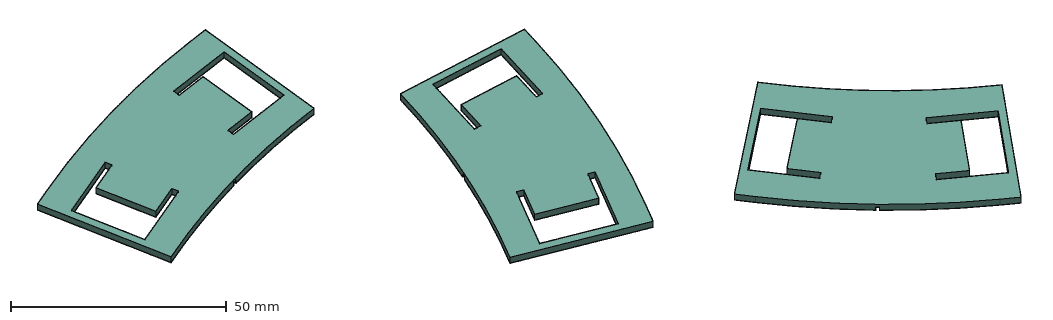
import cadquery as cq
import math

thickness = 2.1
width = 35.0
outer_radius = 200.7
end_length = 5.0
bend_angle = 16.2
inner_edge_radius = 184.25

window_width = 19.2
window_near = 1.9
window_far = 18.75
tongue_width = 15.65
tongue_tip = 10.8

groove_width = 0.8
groove_depth = 1.05

middle_radius = outer_radius - width / 2
bend_center = (outer_radius, end_length)


def bend_point(radius, angle, beyond=0.0):
    """Point at a bend angle, moved a distance onward along the tangent."""
    a = math.radians(angle)
    x = bend_center[0] - radius * math.cos(a) + beyond * math.sin(a)
    y = bend_center[1] + radius * math.sin(a) + beyond * math.cos(a)
    return x, y


def make_plate():
    """Curved strip; only its -X edge is straight near the ends."""
    return (
        cq.Workplane("XY")
        .moveTo(0, 0)
        .lineTo(*bend_point(outer_radius, 0))
        .threePointArc(bend_point(outer_radius, bend_angle / 2), bend_point(outer_radius, bend_angle))
        .lineTo(*bend_point(outer_radius, bend_angle, end_length))
        .lineTo(*bend_point(outer_radius - width, bend_angle, end_length))
        .radiusArc((width, 0), -inner_edge_radius)
        .close()
        .extrude(thickness)
    )


def make_window():
    """Window cutter at the Y = 0 end, with the tongue left standing."""
    opening = (
        cq.Workplane("XY")
        .center(width / 2, (window_near + window_far) / 2)
        .rect(window_width, window_far - window_near)
        .extrude(thickness)
    )
    tongue = (
        cq.Workplane("XY")
        .center(width / 2, (tongue_tip + window_far) / 2)
        .rect(tongue_width, window_far - tongue_tip)
        .extrude(thickness)
    )
    return opening.cut(tongue)


def make_groove():
    """Radial groove cutter, long enough to leave through both curved sides."""
    return (
        cq.Workplane("XY")
        .box(2 * width, groove_width, groove_depth, centered=(True, True, False))
        .rotate((0, 0, 0), (0, 0, 1), -bend_angle / 2)
        .translate((*bend_point(middle_radius, bend_angle / 2), 0))
    )


first_window = make_window()

half_angle = math.radians(bend_angle / 2)
mirror_normal = cq.Vector(math.sin(half_angle), math.cos(half_angle), 0)
second_window = first_window.mirror(mirror_normal, (*bend_center, 0))

result = make_plate().cut(first_window).cut(second_window).cut(make_groove())